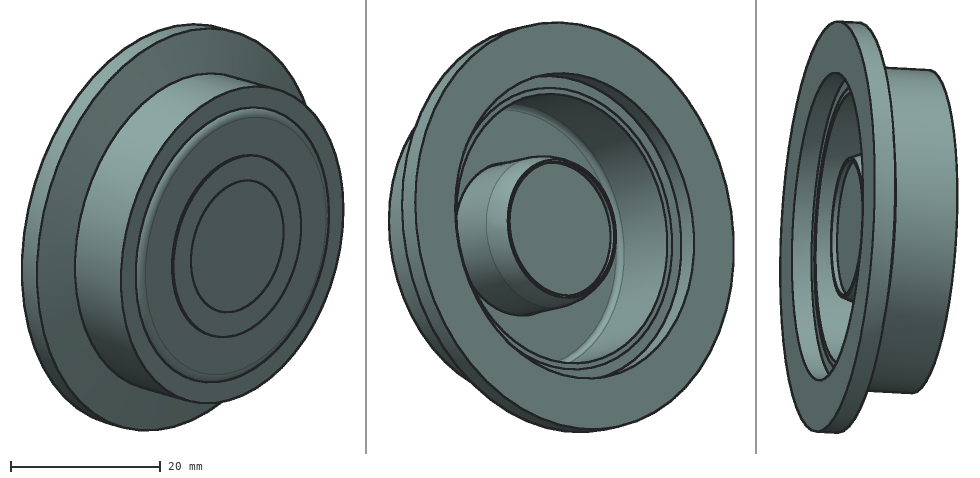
import cadquery as cq


flange_radius = 27.45
rim_thickness = 2.8
cone_end_x = 4.3
hub_radius = 21.6
flange_length = 12.75
recess_radius = 20.55
recess_depth = 2.7

cup_radius = 19.0
cup_wall = 0.8
cup_back_x = 13.4
cup_inner_fillet = 0.75
cup_outer_fillet = 1.4

sleeve_radius = 10.2
sleeve_clearance = 0.1
sleeve_rim_radius = 9.3
sleeve_bore_radius = 9.0
sleeve_front_x = recess_depth
nose_end_x = 6.15
sleeve_head_radius = 12.4
sleeve_back_x = 13.65

plug_setback = 0.75
plug_front_x = sleeve_front_x + plug_setback


def cylinder(radius, start_x, end_x):
    """Solid cylinder on the X axis between two axial positions."""
    return cq.Workplane("YZ").workplane(offset=start_x).circle(radius).extrude(end_x - start_x)


def revolve_about_x(half_profile):
    """Revolve a closed XY half profile a full turn about the X axis."""
    return half_profile.close().revolve(360, (0, 0, 0), (1, 0, 0))


def make_flange():
    """Clamping flange with a tapered back, a hub, a front recess and a through bore."""
    blank = revolve_about_x(
        cq.Workplane("XY")
        .lineTo(0, flange_radius)
        .lineTo(rim_thickness, flange_radius)
        .lineTo(cone_end_x, hub_radius)
        .lineTo(flange_length, hub_radius)
        .lineTo(flange_length, 0)
    )
    recess = cylinder(recess_radius, 0, recess_depth)
    return blank.cut(recess).cut(make_cup_envelope())


def make_cup_envelope():
    """Outside shape of the cup, without its cavity."""
    envelope = cylinder(cup_radius, recess_depth, cup_back_x)
    return envelope.faces(">X").edges().fillet(cup_outer_fillet)


def make_cup():
    """Thin cup, open at the front, with a hole in its floor for the sleeve."""
    cavity = cylinder(cup_radius - cup_wall, recess_depth, cup_back_x - cup_wall)
    cavity = cavity.faces(">X").edges().fillet(cup_inner_fillet)
    sleeve_hole = cylinder(sleeve_radius + sleeve_clearance, recess_depth, cup_back_x)
    return make_cup_envelope().cut(cavity).cut(sleeve_hole)


def make_sleeve():
    """Sleeve with a rounded nose at the front and a thin head behind the cup."""
    nose_length = nose_end_x - sleeve_front_x
    nose_drop = sleeve_radius - sleeve_rim_radius
    nose_arc_radius = (nose_length**2 + nose_drop**2) / (2 * nose_drop)
    return revolve_about_x(
        cq.Workplane("XY")
        .moveTo(sleeve_front_x, sleeve_bore_radius)
        .lineTo(sleeve_front_x, sleeve_rim_radius)
        .radiusArc((nose_end_x, sleeve_radius), nose_arc_radius)
        .lineTo(cup_back_x, sleeve_radius)
        .lineTo(cup_back_x, sleeve_head_radius)
        .lineTo(sleeve_back_x, sleeve_head_radius)
        .lineTo(sleeve_back_x, sleeve_bore_radius)
    )


flange = make_flange()
cup = make_cup()
sleeve = make_sleeve()
plug = cylinder(sleeve_bore_radius, plug_front_x, sleeve_back_x)

result = cq.Compound.makeCompound([flange.val(), cup.val(), sleeve.val(), plug.val()])